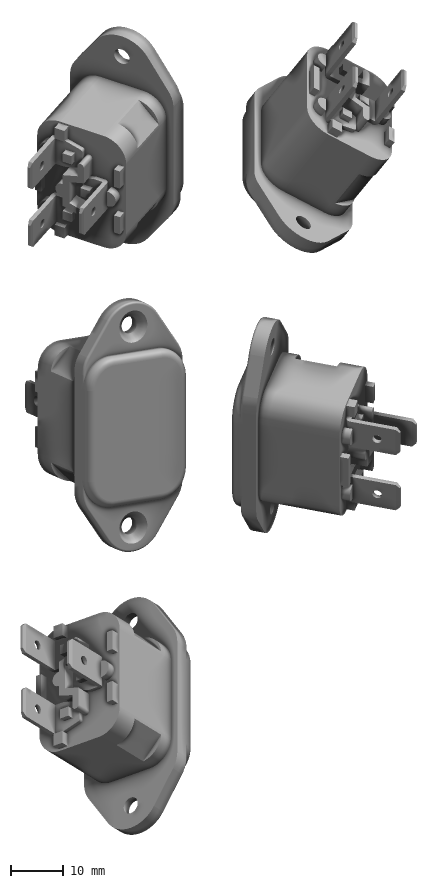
import cadquery as cq
import math


WIDTH = 22.5
HALF_WIDTH = WIDTH / 2
FLANGE_APEX_Z = 30.0
FLANGE_SHOULDER_Z = 13.7
FLANGE_HALF_HEIGHT = 24.85
FLANGE_SHOULDER_RADIUS = 5.95
FLANGE_THICKNESS = 3.2
FLANGE_EDGE_RADIUS = 0.45
SCREW_HOLE_Z = 20.0
SCREW_HOLE_RADIUS = 1.7
COUNTERSINK_RADIUS = 3.2
COUNTERSINK_DEPTH = 1.5

SLOPE_ANGLE = math.atan2(HALF_WIDTH, FLANGE_APEX_Z - FLANGE_SHOULDER_Z)
FLANGE_END_RADIUS = (FLANGE_APEX_Z - FLANGE_HALF_HEIGHT) / (1 / math.sin(SLOPE_ANGLE) - 1)

COLLAR_HALF_HEIGHT = 15.0
COLLAR_CORNER_RADIUS = 5.95
COLLAR_FRONT_Y = 5.15
COLLAR_EDGE_RADIUS = 1.5

BODY_HALF_WIDTH = 9.7
BODY_HALF_HEIGHT = 13.4
BODY_CORNER_RADIUS = 4.95
BODY_LENGTH = 16.15
REAR_Y = -BODY_LENGTH
NOTCH_SIZE = 4.4
NOTCH_FRONT_Y = -3.0
NOTCH_LENGTH = 8.4

RIB_HEIGHT = 1.7
RIB_X = 8.6
RIB_WIDTH = 1.3
LEFT_RIB_LENGTH = 7.1
RIGHT_RIB_LENGTH = 4.13
RIGHT_RIB_Z = 5.5
BLOCK_X = -3.95
BLOCK_Z = 11.7
BLOCK_WIDTH = 2.15
BLOCK_LENGTH = 2.6
BOSS_RADIUS = 1.75
BOSS_PITCH = 7.0
BOSS_CENTRE_X = 6.6
BOSS_FLAT_X = 6.45

WALL_HEIGHT = 3.45
WALL_TOP_Z = 7.75
WALL_BAR_LEFT_X = 0.9
WALL_BAR_RIGHT_X = 2.35
WALL_CORE_LEFT_X = -2.35
WALL_CORE_RIGHT_X = -0.85
WALL_BAR_LEFT_Z = 4.55
WALL_CORE_LEFT_Z = 3.7
WALL_BAR_RIGHT_Z = 3.4
WALL_CORE_RIGHT_Z = 2.55
WALL_BUMP_RADIUS = 1.55

TERMINAL_PITCH = 6.95
TERMINAL_WIDTH = 6.3
PLATE_GAP = 0.15
SHEET_THICKNESS = 0.9
TAB_OUTER_X = 6.05
TAB_END_Y = -27.15
TAB_TIP_CHAMFER = 0.8
TAB_FACE_CHAMFER = 0.2
TAB_HOLE_Y = -22.6
TAB_HOLE_RADIUS = 0.95
PLATE_TAPER_X = 3.2
PLATE_END_X = -0.75
PLATE_END_WIDTH = 4.15
PLATE_CORNER_RADIUS = 0.6
PIN_HOLE_X = 2.0
PIN_HOLE_SIZE = 2.1
LOWER_TERMINAL_SHIFT = 0.1

PIN_X = 1.95
PIN_SIZE = 2.0
PIN_END_Y = -18.45

CONTACTS = [(-1, 1), (-1, -1), (1, 0)]


def plane_at(y):
    """Plane across the part at depth y: local x is X, local y is Z, extrusion goes to -Y."""
    return cq.Workplane("XZ", origin=(0, y, 0))


def make_flange():
    outline = [
        (0, FLANGE_APEX_Z),
        (HALF_WIDTH, FLANGE_SHOULDER_Z),
        (HALF_WIDTH, -FLANGE_SHOULDER_Z),
        (0, -FLANGE_APEX_Z),
        (-HALF_WIDTH, -FLANGE_SHOULDER_Z),
        (-HALF_WIDTH, FLANGE_SHOULDER_Z),
    ]
    flange = plane_at(FLANGE_THICKNESS).polyline(outline).close().extrude(FLANGE_THICKNESS)
    flange = flange.edges("|Y").edges(">X or <X").fillet(FLANGE_SHOULDER_RADIUS)
    flange = flange.edges("|Y").edges(">Z or <Z").fillet(FLANGE_END_RADIUS)
    return flange.faces(">Y").edges().fillet(FLANGE_EDGE_RADIUS)


def make_collar():
    collar = plane_at(COLLAR_FRONT_Y).rect(WIDTH, 2 * COLLAR_HALF_HEIGHT).extrude(COLLAR_FRONT_Y)
    return collar.edges("|Y").fillet(COLLAR_CORNER_RADIUS).faces(">Y").edges().fillet(COLLAR_EDGE_RADIUS)


def make_body():
    """Rounded body with a flat 45 degree notch in each of its two +X corners."""
    body = plane_at(0).rect(2 * BODY_HALF_WIDTH, 2 * BODY_HALF_HEIGHT).extrude(BODY_LENGTH)
    body = body.edges("|Y").fillet(BODY_CORNER_RADIUS)
    notch = (
        plane_at(NOTCH_FRONT_Y)
        .polyline([
            (BODY_HALF_WIDTH, BODY_HALF_HEIGHT),
            (BODY_HALF_WIDTH - NOTCH_SIZE, BODY_HALF_HEIGHT),
            (BODY_HALF_WIDTH, BODY_HALF_HEIGHT - NOTCH_SIZE),
        ])
        .close()
        .extrude(NOTCH_LENGTH)
    )
    return body.cut(notch).cut(notch.mirror("XY"))


def make_ribs():
    rear = plane_at(REAR_Y)
    left_rib = rear.center(-RIB_X, 0).rect(RIB_WIDTH, LEFT_RIB_LENGTH).extrude(RIB_HEIGHT)
    right_ribs = (
        rear.pushPoints([(RIB_X, RIGHT_RIB_Z), (RIB_X, -RIGHT_RIB_Z)])
        .rect(RIB_WIDTH, RIGHT_RIB_LENGTH)
        .extrude(RIB_HEIGHT)
    )
    blocks = (
        rear.pushPoints([(BLOCK_X, BLOCK_Z), (BLOCK_X, -BLOCK_Z)])
        .rect(BLOCK_WIDTH, BLOCK_LENGTH)
        .extrude(RIB_HEIGHT)
    )
    return left_rib.add(right_ribs).add(blocks).combine()


def make_boss(side, row):
    """Half-round boss, its flat towards the terminal tab."""
    z = row * BOSS_PITCH
    return (
        plane_at(REAR_Y)
        .moveTo(side * BOSS_FLAT_X, z + BOSS_RADIUS)
        .lineTo(side * BOSS_CENTRE_X, z + BOSS_RADIUS)
        .threePointArc(
            (side * (BOSS_CENTRE_X + BOSS_RADIUS), z),
            (side * BOSS_CENTRE_X, z - BOSS_RADIUS),
        )
        .lineTo(side * BOSS_FLAT_X, z - BOSS_RADIUS)
        .close()
        .extrude(RIB_HEIGHT)
    )


def make_wall():
    bar_middle_x = (WALL_BAR_LEFT_X + WALL_BAR_RIGHT_X) / 2
    bar_end_z = WALL_TOP_Z - (WALL_BAR_RIGHT_X - WALL_BAR_LEFT_X) / 2
    return (
        plane_at(REAR_Y)
        .moveTo(WALL_BAR_LEFT_X, bar_end_z)
        .lineTo(WALL_BAR_LEFT_X, WALL_BAR_LEFT_Z)
        .lineTo(WALL_CORE_LEFT_X, WALL_CORE_LEFT_Z)
        .lineTo(WALL_CORE_LEFT_X, WALL_BUMP_RADIUS)
        .threePointArc(
            (WALL_CORE_LEFT_X - WALL_BUMP_RADIUS, 0),
            (WALL_CORE_LEFT_X, -WALL_BUMP_RADIUS),
        )
        .lineTo(WALL_CORE_LEFT_X, -WALL_CORE_LEFT_Z)
        .lineTo(WALL_BAR_LEFT_X, -WALL_BAR_LEFT_Z)
        .lineTo(WALL_BAR_LEFT_X, -bar_end_z)
        .threePointArc((bar_middle_x, -WALL_TOP_Z), (WALL_BAR_RIGHT_X, -bar_end_z))
        .lineTo(WALL_BAR_RIGHT_X, -WALL_BAR_RIGHT_Z)
        .lineTo(WALL_CORE_RIGHT_X, -WALL_CORE_RIGHT_Z)
        .lineTo(WALL_CORE_RIGHT_X, WALL_CORE_RIGHT_Z)
        .lineTo(WALL_BAR_RIGHT_X, WALL_BAR_RIGHT_Z)
        .lineTo(WALL_BAR_RIGHT_X, bar_end_z)
        .threePointArc((bar_middle_x, WALL_TOP_Z), (WALL_BAR_LEFT_X, bar_end_z))
        .close()
        .extrude(WALL_HEIGHT)
    )


def make_screw_hole(z):
    """Screw hole through the flange, countersunk from the mating side."""
    hole = plane_at(FLANGE_THICKNESS).center(0, z).circle(SCREW_HOLE_RADIUS).extrude(FLANGE_THICKNESS)
    countersink = (
        plane_at(FLANGE_THICKNESS)
        .center(0, z)
        .circle(COUNTERSINK_RADIUS)
        .workplane(offset=COUNTERSINK_DEPTH)
        .circle(SCREW_HOLE_RADIUS)
        .loft()
    )
    return hole.union(countersink)


def make_housing():
    housing = make_flange().union(make_collar()).union(make_body())
    housing = housing.union(make_ribs()).union(make_wall())
    for side, row in CONTACTS:
        housing = housing.union(make_boss(side, row))
    for z in (SCREW_HOLE_Z, -SCREW_HOLE_Z):
        housing = housing.cut(make_screw_hole(z))
    return housing


def make_sheet_strip():
    """Bent strip of a +X terminal at full width: plate, bend and tab with its tip bevelled on both faces."""
    plate_y = REAR_Y - PLATE_GAP
    tab_inner_x = TAB_OUTER_X - SHEET_THICKNESS
    bevel_y = TAB_END_Y + TAB_TIP_CHAMFER
    bend_middle = SHEET_THICKNESS * (1 - math.sqrt(0.5))
    return (
        cq.Workplane("XY")
        .moveTo(PLATE_END_X, plate_y)
        .lineTo(tab_inner_x, plate_y)
        .threePointArc(
            (TAB_OUTER_X - bend_middle, plate_y - bend_middle),
            (TAB_OUTER_X, plate_y - SHEET_THICKNESS),
        )
        .lineTo(TAB_OUTER_X, bevel_y)
        .lineTo(TAB_OUTER_X - TAB_FACE_CHAMFER, TAB_END_Y)
        .lineTo(tab_inner_x + TAB_FACE_CHAMFER, TAB_END_Y)
        .lineTo(tab_inner_x, bevel_y)
        .lineTo(tab_inner_x, plate_y - SHEET_THICKNESS)
        .lineTo(PLATE_END_X, plate_y - SHEET_THICKNESS)
        .close()
        .extrude(TERMINAL_WIDTH / 2, both=True)
    )


def make_plate_outline():
    """Prism along Y that tapers the plate of a +X terminal and rounds its end."""
    half_width = TERMINAL_WIDTH / 2
    outline = [
        (TAB_OUTER_X, half_width),
        (PLATE_TAPER_X, half_width),
        (PLATE_END_X, PLATE_END_WIDTH / 2),
        (PLATE_END_X, -PLATE_END_WIDTH / 2),
        (PLATE_TAPER_X, -half_width),
        (TAB_OUTER_X, -half_width),
    ]
    prism = plane_at(0).polyline(outline).close().extrude(-TAB_END_Y)
    return prism.edges("|Y and <X").fillet(PLATE_CORNER_RADIUS)


def make_tip_corners():
    """Two prisms along X that cut the corners off the tip of a +X terminal's tab."""
    half_width = TERMINAL_WIDTH / 2
    corner = (
        cq.Workplane("YZ")
        .polyline([
            (TAB_END_Y, half_width),
            (TAB_END_Y + TAB_TIP_CHAMFER, half_width),
            (TAB_END_Y, half_width - TAB_TIP_CHAMFER),
        ])
        .close()
        .extrude(TAB_OUTER_X)
    )
    return corner.union(corner.mirror("XY"))


def make_terminal(side, row):
    terminal = make_sheet_strip().intersect(make_plate_outline()).cut(make_tip_corners())
    tab_hole = cq.Workplane("YZ").center(TAB_HOLE_Y, 0).circle(TAB_HOLE_RADIUS).extrude(TAB_OUTER_X)
    pin_hole = plane_at(0).center(PIN_HOLE_X, 0).rect(PIN_HOLE_SIZE, PIN_HOLE_SIZE).extrude(-TAB_END_Y)
    terminal = terminal.cut(tab_hole).cut(pin_hole)
    if side < 0:
        terminal = terminal.mirror("YZ")
    shift = LOWER_TERMINAL_SHIFT if row < 0 else 0
    return terminal.translate((shift, 0, row * TERMINAL_PITCH))


def make_pin(side, row):
    """Square contact pin standing on the rear face inside the terminal's hole."""
    pin_plane = plane_at(REAR_Y).center(side * PIN_X, row * TERMINAL_PITCH)
    return pin_plane.rect(PIN_SIZE, PIN_SIZE).extrude(REAR_Y - PIN_END_Y)


housing = make_housing()
terminals = [make_terminal(side, row) for side, row in CONTACTS]
pins = [make_pin(side, row) for side, row in CONTACTS]

result = cq.Compound.makeCompound(
    [housing.val(), *[terminal.val() for terminal in terminals], *[pin.val() for pin in pins]]
)